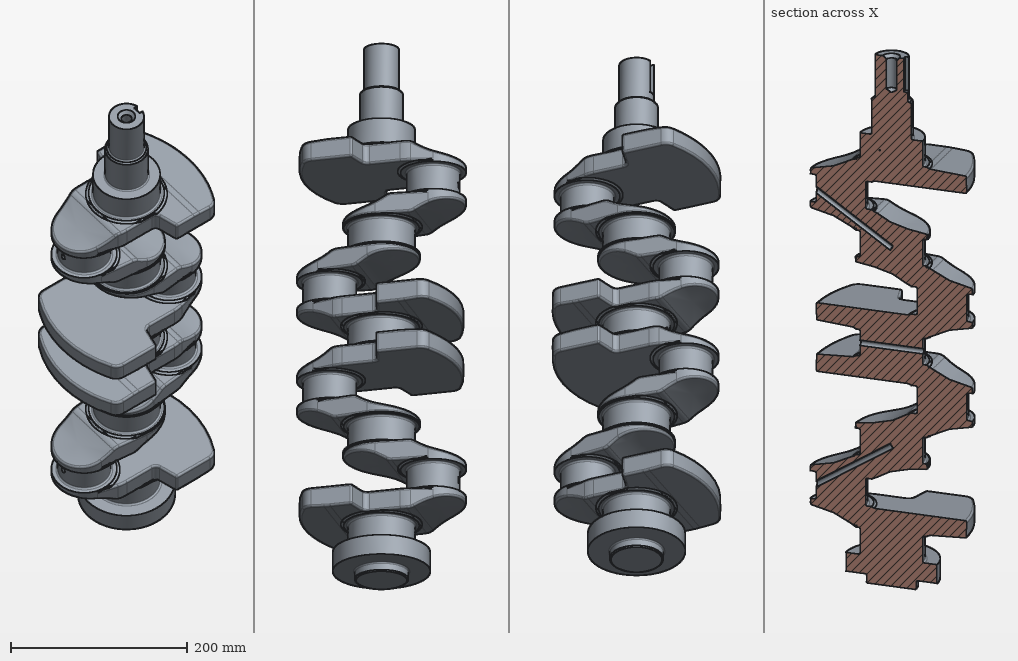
import cadquery as cq
import math

TOTAL_LENGTH = 645.69
OVERALL_WIDTH = 147.11
OVERALL_DEPTH = 197.12
MID_JOURNAL_Z = 291.8
PITCH = 60.3

REAR_INDEX = -4
FRONT_INDEX = 4

JOURNAL_RADIUS = 38.2
PIN_RADIUS = 30.3
JOURNAL_COLLAR_RADIUS = 43.0
PIN_END_RADIUS = 37.3
THROW = OVERALL_DEPTH / 2 - PIN_END_RADIUS
JOURNAL_HALF = 16.0
PIN_HALF = 16.6
COLLAR_THICKNESS = 1.6
COLLAR_FLARE = 3.3
ROOT_FILLET = 2.0

WEB_JOURNAL_Z = JOURNAL_HALF + COLLAR_THICKNESS
WEB_PIN_Z = PITCH - PIN_HALF - COLLAR_THICKNESS
WEB_EDGE_FILLET = 2.6
JOURNAL_END_RADIUS = 44.0
OVERCUT = 2.0

PIN_END_RAMP = {"start": 41.8, "crest": (49.6, 2.2), "dip": (70.0, 12.0), "tip": (98.6, 18.4)}
JOURNAL_END_RAMP = {"start": 37.8, "crest": (44.5, 1.9), "dip": (59.5, 10.2), "tip": (105.3, 19.5)}
CREST_SLOPE = math.radians(32)
TIP_SLOPE = math.radians(12)

WEIGHT_HALF_WIDTH = OVERALL_WIDTH / 2
WEIGHT_REACH = 91.4
WEIGHT_RIM_RADIUS = 140.0
WEIGHT_RIM_CORNER = 14.0
WEIGHT_HEEL_Y = -14.5
WEIGHT_HEEL_CORNER = 2.5
NOTCH_SLOPE = math.radians(14)
NOTCH_FILLET = 7.0
NECK_HALF_WIDTH = 44.2
NECK_TAPER = math.radians(15)
NECK_BEND_RADIUS = 45.0
WEIGHT_FLAT_END = 39.9
WEIGHT_BLEND_END = 47.6
WEIGHT_FACE_SLOPE = math.radians(3.6)

STEP_FILLET = 1.5
NOSE_RADIUS = 20.0
NOSE_BOTTOM_Z = 593.0
SHOULDER_RADIUS = 24.5
SHOULDER_CHAMFER = 2.0
FRONT_JOURNAL_TOP_Z = 548.0
KEYWAY_WIDTH = 10.0
KEYWAY_FLOOR_Y = 15.0
KEYWAY_BOTTOM_Z = 605.0
FLANGE_RADIUS = 55.5
FLANGE_BOTTOM_Z = 11.0
FLANGE_TOP_Z = 34.4
SPIGOT_RADIUS = 30.5
SPIGOT_CHAMFER = 1.5

CENTRE_HOLE_RADIUS = 6.0
CENTRE_HOLE_DEPTH = 40.0
CENTRE_SINK_RADIUS = 10.0
DRILL_POINT_SLOPE = math.radians(31)
OIL_HOLE_RADIUS = 3.0
OIL_HOLE_PIN_OFFSET = 1.5


def cylinder(radius, bottom, top, y=0.0):
    return cq.Workplane("XY", origin=(0, y, bottom)).circle(radius).extrude(top - bottom)


def turning_plane(y=0.0):
    """Half-section plane of a turned shape: local x is the radius, local y is Z."""
    return cq.Workplane("XZ", origin=(0, y, 0))


def turn(profile):
    return profile.close().revolve(360, (0, 0, 0), (0, 1, 0))


def bearing(radius, bottom, top, y=0.0, round_top=True):
    """Cylindrical bearing surface with a concave fillet at the bottom and, if rounded, at the top."""
    profile = (
        turning_plane(y)
        .moveTo(0, bottom)
        .lineTo(radius + ROOT_FILLET, bottom)
        .radiusArc((radius, bottom + ROOT_FILLET), ROOT_FILLET)
    )
    if round_top:
        profile = profile.lineTo(radius, top - ROOT_FILLET)
        profile = profile.radiusArc((radius + ROOT_FILLET, top), ROOT_FILLET)
    else:
        profile = profile.lineTo(radius, top)
    return turn(profile.lineTo(0, top))


def add_ramp(profile, ramp, axis_y, face_z, direction):
    """Continue the side profile from a flat face down a ramp; direction is +1 to the pin end."""

    def place(distance, drop):
        return axis_y + direction * distance, face_z + direction * drop

    tip_distance, tip_drop = ramp["tip"]
    past_tip = (tip_distance + OVERCUT, tip_drop + OVERCUT * math.tan(TIP_SLOPE))
    return (
        profile.lineTo(*place(ramp["start"], 0))
        .tangentArcPoint(place(*ramp["crest"]), relative=False)
        .spline(
            [place(*ramp["dip"]), place(*past_tip)],
            tangents=[
                (direction * math.cos(CREST_SLOPE), direction * math.sin(CREST_SLOPE)),
                (direction * math.cos(TIP_SLOPE), direction * math.sin(TIP_SLOPE)),
            ],
            includeCurrent=True,
        )
    )


def side_plane():
    """Plane beside the part for side profiles: local x is Y, local y is Z."""
    return cq.Workplane("YZ", origin=(-OVERALL_WIDTH, 0, 0))


def side_slab(profile):
    return profile.close().extrude(2 * OVERALL_WIDTH)


def plain_outline():
    """Two round ends joined by tangent lines."""
    lean = math.asin((JOURNAL_END_RADIUS - PIN_END_RADIUS) / THROW)
    side = (math.cos(lean), math.sin(lean))
    journal_x, journal_y = (JOURNAL_END_RADIUS * part for part in side)
    pin_x, pin_y = (PIN_END_RADIUS * part for part in side)
    return (
        cq.Workplane("XY")
        .moveTo(journal_x, journal_y)
        .lineTo(pin_x, THROW + pin_y)
        .threePointArc((0, THROW + PIN_END_RADIUS), (-pin_x, THROW + pin_y))
        .lineTo(-journal_x, journal_y)
        .threePointArc((0, -JOURNAL_END_RADIUS), (journal_x, journal_y))
        .close()
        .extrude(PITCH)
    )


def plain_slab():
    """Side shape of the plain web, thinned by a ramp at both ends."""
    profile = side_plane().moveTo(0, WEB_JOURNAL_Z)
    profile = add_ramp(profile, PIN_END_RAMP, 0, WEB_JOURNAL_Z, 1)
    profile = profile.lineTo(THROW + PIN_END_RADIUS + OVERCUT, WEB_PIN_Z).lineTo(THROW, WEB_PIN_Z)
    profile = add_ramp(profile, JOURNAL_END_RAMP, THROW, WEB_PIN_Z, -1)
    profile = profile.lineTo(-JOURNAL_END_RADIUS - OVERCUT, WEB_JOURNAL_Z)
    return side_slab(profile)


def counterweight_outline():
    """Weight with an arc rim, notched in to a neck that tapers to the round pin end."""
    rim_y = -WEIGHT_REACH + WEIGHT_RIM_RADIUS - math.sqrt(WEIGHT_RIM_RADIUS**2 - WEIGHT_HALF_WIDTH**2)
    notch_y = WEIGHT_HEEL_Y + (WEIGHT_HALF_WIDTH - NECK_HALF_WIDTH) * math.tan(NOTCH_SLOPE)
    tangent_x = PIN_END_RADIUS * math.cos(NECK_TAPER)
    tangent_y = THROW + PIN_END_RADIUS * math.sin(NECK_TAPER)
    bend_y = tangent_y - (NECK_HALF_WIDTH - tangent_x) / math.tan(NECK_TAPER)
    outline = (
        cq.Workplane("XY")
        .moveTo(-WEIGHT_HALF_WIDTH, rim_y)
        .threePointArc((0, -WEIGHT_REACH), (WEIGHT_HALF_WIDTH, rim_y))
        .lineTo(WEIGHT_HALF_WIDTH, WEIGHT_HEEL_Y)
        .lineTo(NECK_HALF_WIDTH, notch_y)
        .lineTo(NECK_HALF_WIDTH, bend_y)
        .lineTo(tangent_x, tangent_y)
        .threePointArc((0, THROW + PIN_END_RADIUS), (-tangent_x, tangent_y))
        .lineTo(-NECK_HALF_WIDTH, bend_y)
        .lineTo(-NECK_HALF_WIDTH, notch_y)
        .lineTo(-WEIGHT_HALF_WIDTH, WEIGHT_HEEL_Y)
        .close()
        .extrude(PITCH)
    )
    corners = (
        (WEIGHT_HALF_WIDTH, rim_y, WEIGHT_RIM_CORNER),
        (WEIGHT_HALF_WIDTH, WEIGHT_HEEL_Y, WEIGHT_HEEL_CORNER),
        (NECK_HALF_WIDTH, notch_y, NOTCH_FILLET),
        (NECK_HALF_WIDTH, bend_y, NECK_BEND_RADIUS),
    )
    for x, y, radius in corners:
        for side in (-1, 1):
            nearest = cq.selectors.NearestToPointSelector((side * x, y, PITCH / 2))
            outline = outline.edges("|Z").edges(nearest).fillet(radius)
    return outline


def counterweight_slab():
    """Side shape of the weighted web: the weight face tilts outwards and the pin end is ramped."""
    blend = WEIGHT_BLEND_END - WEIGHT_FLAT_END
    blend_rise = blend * math.tan(WEIGHT_FACE_SLOPE / 2)
    rim = WEIGHT_REACH + OVERCUT
    rim_rise = blend_rise + (rim - WEIGHT_BLEND_END) * math.tan(WEIGHT_FACE_SLOPE)
    profile = side_plane().moveTo(-WEIGHT_FLAT_END, WEB_JOURNAL_Z)
    profile = add_ramp(profile, PIN_END_RAMP, 0, WEB_JOURNAL_Z, 1)
    profile = (
        profile.lineTo(THROW + PIN_END_RADIUS + OVERCUT, WEB_PIN_Z)
        .lineTo(-rim, WEB_PIN_Z)
        .lineTo(-rim, WEB_JOURNAL_Z + rim_rise)
        .lineTo(-WEIGHT_BLEND_END, WEB_JOURNAL_Z + blend_rise)
        .tangentArcPoint((-WEIGHT_FLAT_END, WEB_JOURNAL_Z), relative=False)
    )
    return side_slab(profile)


def collar(radius, thrust_z, web_z, y=0.0):
    """Thrust collar that flares out towards the web."""
    profile = (
        turning_plane(y)
        .moveTo(0, thrust_z)
        .lineTo(radius, thrust_z)
        .lineTo(radius + COLLAR_FLARE, web_z)
        .lineTo(0, web_z)
    )
    return turn(profile)


def web(outline, slab):
    """Plate with rounded edges, and the collars that face the journal and the crankpin."""
    plate = outline.intersect(slab).edges("not (|X or |Z)").fillet(WEB_EDGE_FILLET)
    journal_collar = collar(JOURNAL_COLLAR_RADIUS, JOURNAL_HALF, WEB_JOURNAL_Z)
    pin_collar = collar(PIN_END_RADIUS, PITCH - PIN_HALF, WEB_PIN_Z, THROW)
    collars = journal_collar.union(pin_collar).intersect(outline)
    pin_end = cylinder(PIN_END_RADIUS, WEB_PIN_Z - WEB_EDGE_FILLET, PITCH - PIN_HALF, THROW)
    journal_end = cylinder(JOURNAL_COLLAR_RADIUS, JOURNAL_HALF, WEB_JOURNAL_Z + WEB_EDGE_FILLET)
    return plate.union(pin_end).union(journal_end).union(collars)


def placed_web(shape, journal_z, pin_side, pin_above):
    """Move a web to its journal; pin_side is the Y sign of its pin."""
    if pin_side < 0:
        shape = shape.mirror("XZ")
    if pin_above < 0:
        shape = shape.mirror("XY")
    return shape.translate((0, 0, journal_z))


def nose():
    """Stepped drive end, with root fillets at the foot of both steps."""
    profile = (
        turning_plane()
        .moveTo(0, FRONT_JOURNAL_TOP_Z)
        .lineTo(SHOULDER_RADIUS + STEP_FILLET, FRONT_JOURNAL_TOP_Z)
        .radiusArc((SHOULDER_RADIUS, FRONT_JOURNAL_TOP_Z + STEP_FILLET), STEP_FILLET)
        .lineTo(SHOULDER_RADIUS, NOSE_BOTTOM_Z - SHOULDER_CHAMFER)
        .lineTo(SHOULDER_RADIUS - SHOULDER_CHAMFER, NOSE_BOTTOM_Z)
        .lineTo(NOSE_RADIUS + STEP_FILLET, NOSE_BOTTOM_Z)
        .radiusArc((NOSE_RADIUS, NOSE_BOTTOM_Z + STEP_FILLET), STEP_FILLET)
        .lineTo(NOSE_RADIUS, TOTAL_LENGTH)
        .lineTo(0, TOTAL_LENGTH)
    )
    return turn(profile)


def flange():
    """Flywheel flange with a chamfered spigot below it."""
    profile = (
        turning_plane()
        .lineTo(SPIGOT_RADIUS - SPIGOT_CHAMFER, 0)
        .lineTo(SPIGOT_RADIUS, SPIGOT_CHAMFER)
        .lineTo(SPIGOT_RADIUS, FLANGE_BOTTOM_Z - STEP_FILLET)
        .radiusArc((SPIGOT_RADIUS + STEP_FILLET, FLANGE_BOTTOM_Z), STEP_FILLET)
        .lineTo(FLANGE_RADIUS, FLANGE_BOTTOM_Z)
        .lineTo(FLANGE_RADIUS, FLANGE_TOP_Z)
        .lineTo(0, FLANGE_TOP_Z)
    )
    return turn(profile)


def keyway():
    slot_depth = NOSE_RADIUS - KEYWAY_FLOOR_Y
    return cq.Workplane("XY", origin=(0, KEYWAY_FLOOR_Y, KEYWAY_BOTTOM_Z)).box(
        KEYWAY_WIDTH, slot_depth, TOTAL_LENGTH - KEYWAY_BOTTOM_Z, centered=(True, False, False)
    )


def centre_hole():
    """Countersunk hole with a conical drill point, in the end of the nose."""
    sink_depth = CENTRE_SINK_RADIUS - CENTRE_HOLE_RADIUS
    floor_z = TOTAL_LENGTH - CENTRE_HOLE_DEPTH
    profile = (
        turning_plane()
        .moveTo(0, TOTAL_LENGTH)
        .lineTo(CENTRE_SINK_RADIUS, TOTAL_LENGTH)
        .lineTo(CENTRE_HOLE_RADIUS, TOTAL_LENGTH - sink_depth)
        .lineTo(CENTRE_HOLE_RADIUS, floor_z)
        .lineTo(0, floor_z - CENTRE_HOLE_RADIUS * math.tan(DRILL_POINT_SLOPE))
    )
    return turn(profile)


def drilling(start, end):
    start, end = cq.Vector(*start), cq.Vector(*end)
    path = end - start
    return cq.Workplane(cq.Solid.makeCylinder(OIL_HOLE_RADIUS, path.Length, start, path))


def oil_holes():
    """Cross hole through the middle journal and slanted holes from the outer pins to their inner journals."""
    holes = drilling((0, -JOURNAL_END_RADIUS, MID_JOURNAL_Z), (0, JOURNAL_END_RADIUS, MID_JOURNAL_Z))
    mouth = THROW + PIN_RADIUS
    mouth_rise = PITCH - OIL_HOLE_PIN_OFFSET
    for side in (-1, 1):
        journal_z = MID_JOURNAL_Z + side * 2 * PITCH
        slope = mouth_rise / mouth
        outside = mouth + OVERCUT
        start = (0, -outside, journal_z + side * slope * outside)
        holes = holes.union(drilling(start, (0, 0, journal_z)))
    return holes


def main_journal(index):
    """Main bearing; the rear one stands on the flange and the front one ends in a plain edge."""
    z = MID_JOURNAL_Z + index * PITCH
    bottom = FLANGE_TOP_Z if index == REAR_INDEX else z - JOURNAL_HALF
    top = FRONT_JOURNAL_TOP_Z if index == FRONT_INDEX else z + JOURNAL_HALF
    return bearing(JOURNAL_RADIUS, bottom, top, round_top=index != FRONT_INDEX)


def crankpin(index):
    z = MID_JOURNAL_Z + index * PITCH
    return bearing(PIN_RADIUS, z - PIN_HALF, z + PIN_HALF, pin_side(index) * THROW)


def pin_side(index):
    """The two inner crankpins stand towards +Y, the two outer ones towards -Y."""
    return 1 if abs(index) == 1 else -1


def crankshaft():
    weighted_web = web(counterweight_outline(), counterweight_slab())
    plain_web = web(plain_outline(), plain_slab())
    shaft = flange().union(nose())
    for journal_index in range(REAR_INDEX, FRONT_INDEX + 1, 2):
        shaft = shaft.union(main_journal(journal_index))
    for pin_index in range(REAR_INDEX + 1, FRONT_INDEX, 2):
        shaft = shaft.union(crankpin(pin_index))
        for step in (-1, 1):
            journal_index = pin_index + step
            shape = plain_web if abs(journal_index) == 2 else weighted_web
            journal_z = MID_JOURNAL_Z + journal_index * PITCH
            shaft = shaft.union(placed_web(shape, journal_z, pin_side(pin_index), -step))
    return shaft.cut(keyway()).cut(centre_hole()).cut(oil_holes())


result = crankshaft()